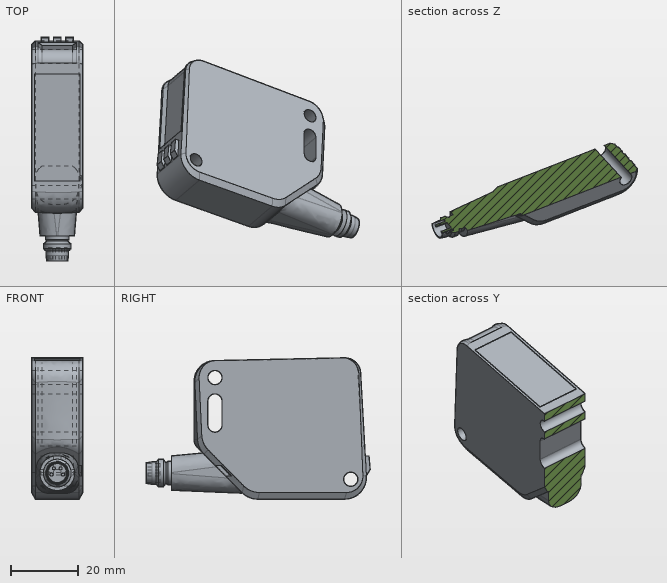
import cadquery as cq
import math


WIDTH = 15.1
HALF_WIDTH = WIDTH / 2
RIM_X = 6.45

HEIGHT = 41.71
TOP_SLOPE = 0.0215
BACK_SLOPE = 0.055
BACK_Y = 51.2
TOP_BACK_RADIUS = 4.8
BOTTOM_BACK_RADIUS = 6.5
SIDE_BACK_RADIUS = 4.8
TOP_FRONT_RADIUS = 6.2
SIDE_FRONT_RADIUS = 5.0
DIAGONAL_RADIUS = 6.5
FRONT_CORNER_RADIUS = 3.0
RIM_CORNER_RADIUS = 6.5
TOP_TANGENT_Y = 44.3
DIAGONAL_START_Y = 16.1
DIAGONAL_RUN = 0.9877
FRONT_Y = 0.0
RIM_FRONT_TOP_Y = 0.0
RIM_FRONT_SLOPE = 0.0465

BOTTOM_CHAMFER = 2.0
DIAGONAL_CHAMFER = 2.45
FRONT_CHAMFER = 1.3
BACK_CHAMFER_BOTTOM = 1.15
BACK_CHAMFER_SLOPE = 0.015

HOLE_DIAMETER = 4.1
FRONT_HOLE_Y = 6.2
FRONT_HOLE_Z = 35.85
SLOT_Z = 25.4
SLOT_LENGTH = 11.2
BACK_HOLE_Y = 46.2
BACK_HOLE_Z = 5.9

WINDOW_WIDTH = 13.4
WINDOW_FRONT_Y = 9.45
WINDOW_BACK_Y = 41.0
WINDOW_DEPTH = 0.15

TROUGH_FLOOR_X = 4.5
TROUGH_MOUTH_X = 5.7
TROUGH_DEPTH = 0.85
TROUGH_BOTTOM_Z = 15.7

NOTCH_OUTER_X = 7.15
NOTCH_BOTTOM_Z = 6.9
NOTCH_TOP_Z = 9.9
NOTCH_DEPTH = 1.8

BUTTON_COUNT = 3
BUTTON_PITCH = 3.6
BUTTON_WIDTH = 2.3
BUTTON_TIP_Y = 51.95
BUTTON_TOP_Z = 12.8
BUTTON_TIP_Z = 8.8
BUTTON_BOTTOM_Z = 7.1
BUTTON_LEAN = 0.35
BUTTON_UNDERCUT = 1.0
BUTTON_ROOT_Y = 49.0

AXIS_Z = 7.72
BOOT_END_Y = -6.63
BOOT_ROOT_Y = 14.0
BOOT_END_HALF = 5.1
BOOT_END_RADIUS = 4.95
BOOT_ROOT_RADIUS = 4.2
BOOT_SIDE_TAPER = 0.08
BOOT_TOP_TAPER = 0.093
BOOT_BOTTOM_TAPER = 0.042

PLUG_TIP_Y = -14.05
COLLAR_RADIUS = 3.5
COLLAR_END_Y = -7.7
NECK_RADIUS = 3.05
NECK_END_Y = -8.2
FLANGE_RADIUS = 4.1
FLANGE_START_Y = -9.0
FLANGE_END_Y = -10.4
SLEEVE_RADIUS = 3.35
SLEEVE_START_Y = -11.1
SLEEVE_END_Y = -12.4
TIP_RADIUS = 3.1
BORE_RADIUS = 2.8
BORE_DEPTH = 4.0
PIN_DIAMETER = 0.9
PIN_SETBACK = 0.6
UPPER_PIN = (1.0, 1.4)
LOWER_PIN = (1.7, -0.45)


def top_z(y):
    """Height of the sloping top face."""
    return HEIGHT - TOP_SLOPE * (TOP_TANGENT_Y - y)


def back_corners(back_y, slope, bottom_z):
    """Top and bottom corner of the outline on a leaning back line."""
    top_y = (back_y - slope * top_z(0)) / (1 + slope * TOP_SLOPE)
    return (top_y, top_z(top_y)), (back_y - slope * bottom_z, bottom_z)


def front_corners(front_top_y, slope, diagonal_y):
    """Top corner and diagonal corner of the outline on a leaning front line."""
    line_y = front_top_y + slope * top_z(0)
    z = (diagonal_y - line_y) / (DIAGONAL_RUN - slope)
    return (front_top_y, top_z(front_top_y)), (line_y - slope * z, z)


def rounded_wire(workplane, corners, radii):
    """Closed outline with every corner rounded to its own radius."""
    segments = []
    count = len(corners)
    for i, (corner, radius) in enumerate(zip(corners, radii)):
        point = cq.Vector(*corner)
        before = (cq.Vector(*corners[i - 1]) - point).normalized()
        after = (cq.Vector(*corners[(i + 1) % count]) - point).normalized()
        half_angle = before.getAngle(after) / 2
        setback = radius / math.tan(half_angle)
        bisector = (before + after).normalized()
        middle = point + bisector * (radius / math.sin(half_angle) - radius)
        segments.append((point + before * setback, middle, point + after * setback))
    sketch = workplane.moveTo(segments[-1][2].x, segments[-1][2].y)
    for start, middle, end in segments:
        sketch = sketch.lineTo(start.x, start.y)
        sketch = sketch.threePointArc((middle.x, middle.y), (end.x, end.y))
    return sketch.wire().val()


def loft(wires, ruled=True):
    return cq.Workplane(cq.Solid.makeLoft(wires, ruled))


def housing_wire(x, front, back, bottom_z, diagonal_y, radii):
    """Housing outline at a given X; radii run from the diagonal corner over the top to the back."""
    bottom_front = (diagonal_y - DIAGONAL_RUN * bottom_z, bottom_z)
    corners = [bottom_front, front[1], front[0], back[0], back[1]]
    return rounded_wire(cq.Workplane("YZ", origin=(x, 0, 0)), corners, [DIAGONAL_RADIUS, *radii])


def center_wire():
    front = front_corners(FRONT_Y, 0, DIAGONAL_START_Y)
    back = back_corners(BACK_Y, BACK_SLOPE, 0)
    radii = [FRONT_CORNER_RADIUS, TOP_FRONT_RADIUS, TOP_BACK_RADIUS, BOTTOM_BACK_RADIUS]
    return housing_wire(0, front, back, 0, DIAGONAL_START_Y, radii)


def rim_wire(x, trough_depth=0):
    front = front_corners(RIM_FRONT_TOP_Y, RIM_FRONT_SLOPE, DIAGONAL_START_Y)
    back = back_corners(BACK_Y - trough_depth, BACK_SLOPE, 0)
    radii = [RIM_CORNER_RADIUS, TOP_FRONT_RADIUS, TOP_BACK_RADIUS - trough_depth, BOTTOM_BACK_RADIUS]
    return housing_wire(x, front, back, 0, DIAGONAL_START_Y, radii)


def side_wire(x):
    diagonal_y = DIAGONAL_START_Y + DIAGONAL_CHAMFER
    front = front_corners(RIM_FRONT_TOP_Y + FRONT_CHAMFER, RIM_FRONT_SLOPE, diagonal_y)
    back_slope = BACK_SLOPE - BACK_CHAMFER_SLOPE
    back = back_corners(BACK_Y - BACK_CHAMFER_BOTTOM, back_slope, BOTTOM_CHAMFER)
    radii = [RIM_CORNER_RADIUS, SIDE_FRONT_RADIUS, SIDE_BACK_RADIUS, SIDE_BACK_RADIUS]
    return housing_wire(x, front, back, BOTTOM_CHAMFER, diagonal_y, radii)


def make_housing():
    """Core with a crowned front, closed by a chamfered layer on each side."""
    housing = loft([rim_wire(-RIM_X), center_wire(), rim_wire(RIM_X)], ruled=False)
    housing = housing.union(loft([side_wire(-HALF_WIDTH), rim_wire(-RIM_X)]))
    return housing.union(loft([rim_wire(RIM_X), side_wire(HALF_WIDTH)]))


def make_trough():
    """Material removed from the back: a flat floor with sloping flanks."""
    region = cq.Workplane("XY", origin=(0, TOP_TANGENT_Y, TROUGH_BOTTOM_Z)).box(
        2 * TROUGH_MOUTH_X, BACK_Y - TOP_TANGENT_Y, HEIGHT, centered=(True, False, False)
    )
    sections = [
        rim_wire(-TROUGH_MOUTH_X),
        rim_wire(-TROUGH_FLOOR_X, TROUGH_DEPTH),
        rim_wire(TROUGH_FLOOR_X, TROUGH_DEPTH),
        rim_wire(TROUGH_MOUTH_X),
    ]
    return region.cut(loft(sections))


def make_mounting_holes():
    points = [(FRONT_HOLE_Y, FRONT_HOLE_Z), (BACK_HOLE_Y, BACK_HOLE_Z)]
    start = cq.Workplane("YZ", origin=(-HALF_WIDTH, 0, 0))
    holes = start.pushPoints(points).circle(HOLE_DIAMETER / 2).extrude(WIDTH)
    slot = start.center(FRONT_HOLE_Y, SLOT_Z).slot2D(SLOT_LENGTH, HOLE_DIAMETER, 90).extrude(WIDTH)
    return holes.union(slot)


def make_window():
    """Shallow rectangular recess parallel to the sloping top face."""
    outline = [
        (WINDOW_FRONT_Y, top_z(WINDOW_FRONT_Y) - WINDOW_DEPTH),
        (WINDOW_BACK_Y, top_z(WINDOW_BACK_Y) - WINDOW_DEPTH),
        (WINDOW_BACK_Y, HEIGHT),
        (WINDOW_FRONT_Y, HEIGHT),
    ]
    return cq.Workplane("YZ").polyline(outline).close().extrude(WINDOW_WIDTH / 2, both=True)


def make_notch():
    """Small pocket whose floor runs parallel to the diagonal face."""
    bottom_y = DIAGONAL_START_Y - DIAGONAL_RUN * NOTCH_BOTTOM_Z
    top_y = DIAGONAL_START_Y - DIAGONAL_RUN * NOTCH_TOP_Z
    outline = [
        (bottom_y, NOTCH_BOTTOM_Z),
        (bottom_y + NOTCH_DEPTH, NOTCH_BOTTOM_Z),
        (top_y + NOTCH_DEPTH, NOTCH_TOP_Z),
        (top_y, NOTCH_TOP_Z),
    ]
    start = cq.Workplane("YZ", origin=(RIM_X, 0, 0))
    return start.polyline(outline).close().extrude(NOTCH_OUTER_X - RIM_X)


def make_buttons():
    outline = [
        (BUTTON_ROOT_Y, BUTTON_TOP_Z),
        (BUTTON_TIP_Y - BUTTON_LEAN, BUTTON_TOP_Z),
        (BUTTON_TIP_Y, BUTTON_TIP_Z),
        (BUTTON_TIP_Y - BUTTON_UNDERCUT, BUTTON_BOTTOM_Z),
        (BUTTON_ROOT_Y, BUTTON_BOTTOM_Z),
    ]
    button = cq.Workplane("YZ").polyline(outline).close().extrude(BUTTON_WIDTH / 2, both=True)
    buttons = cq.Workplane()
    for i in range(BUTTON_COUNT):
        offset = (i - (BUTTON_COUNT - 1) / 2) * BUTTON_PITCH
        buttons = buttons.add(button.translate((offset, 0, 0)))
    return buttons.combine()


def boot_wire(y, radius):
    """Rounded boot section, growing from the plug towards the housing."""
    run = y - BOOT_END_Y
    half = BOOT_END_HALF + BOOT_SIDE_TAPER * run
    top = BOOT_END_HALF + BOOT_TOP_TAPER * run
    bottom = -BOOT_END_HALF - BOOT_BOTTOM_TAPER * run
    corners = [(-half, bottom), (half, bottom), (half, top), (-half, top)]
    return rounded_wire(cq.Workplane("XZ", origin=(0, y, AXIS_Z)), corners, [radius] * len(corners))


def make_boot():
    return loft([boot_wire(BOOT_END_Y, BOOT_END_RADIUS), boot_wire(BOOT_ROOT_Y, BOOT_ROOT_RADIUS)])


def make_plug():
    """Turned plug body with a socket bore and four contact pins."""
    profile = [
        (0, BOOT_END_Y),
        (COLLAR_RADIUS, BOOT_END_Y),
        (COLLAR_RADIUS, COLLAR_END_Y),
        (NECK_RADIUS, NECK_END_Y),
        (FLANGE_RADIUS, FLANGE_START_Y),
        (FLANGE_RADIUS, FLANGE_END_Y),
        (SLEEVE_RADIUS, SLEEVE_START_Y),
        (SLEEVE_RADIUS, SLEEVE_END_Y),
        (TIP_RADIUS, PLUG_TIP_Y),
        (BORE_RADIUS, PLUG_TIP_Y),
        (BORE_RADIUS, PLUG_TIP_Y + BORE_DEPTH),
        (0, PLUG_TIP_Y + BORE_DEPTH),
    ]
    plug = cq.Workplane("XY").polyline(profile).close().revolve(360, (0, 0, 0), (0, 1, 0))
    pin_points = [(side * x, z) for x, z in (UPPER_PIN, LOWER_PIN) for side in (-1, 1)]
    pin_root = cq.Workplane("XZ", origin=(0, PLUG_TIP_Y + BORE_DEPTH, 0))
    pins = pin_root.pushPoints(pin_points).circle(PIN_DIAMETER / 2).extrude(BORE_DEPTH - PIN_SETBACK)
    return plug.union(pins).translate((0, 0, AXIS_Z))


housing = make_housing().cut(make_trough()).cut(make_window()).cut(make_notch())
result = housing.union(make_boot()).union(make_plug()).union(make_buttons()).cut(make_mounting_holes())